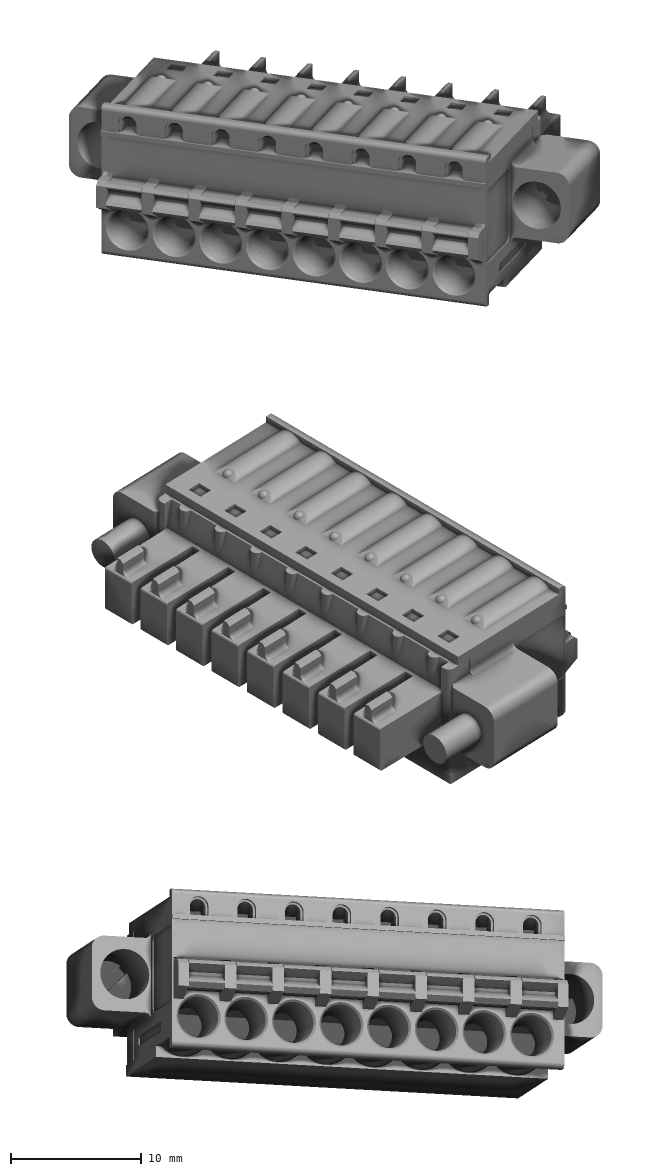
import cadquery as cq
import math

poles = 8
pitch = 3.81
body_width = 31.4
body_half = body_width / 2
overall_half_width = 20.435
wire_offset = -0.235

body_back = 12.67
deck_height = 11.83
lip_height = 12.4
lip_depth = 0.76
lip_fillet = 0.38

rear_rim_back = 12.83
rear_rim_bottom = 0.87
rear_rim_top = 10.97
rear_rim_front = 11.83
rear_edge_radius = 0.5

contact_positions = [(i - (poles - 1) / 2) * pitch for i in range(poles)]
wire_positions = [x + wire_offset for x in contact_positions]
rib_positions = [(i - poles / 2) * pitch for i in range(poles + 1)]


def box(x_min, x_max, y_min, y_max, z_min, z_max):
    size = (x_max - x_min, y_max - y_min, z_max - z_min)
    return cq.Workplane("XY").box(*size, centered=False).translate((x_min, y_min, z_min))


def centered_box(x, width, y_min, y_max, z_min, z_max):
    return box(x - width / 2, x + width / 2, y_min, y_max, z_min, z_max)


def side_profile(points, x, width):
    """Extrude a closed (y, z) outline along X, centred on x."""
    sketch = cq.Workplane("YZ").polyline(points).close()
    return sketch.extrude(width / 2, both=True).translate((x, 0, 0))


def rod(x, z, radius, y_min, y_max):
    """Cylinder along Y."""
    base = cq.Workplane("XZ", origin=(x, y_min, z)).circle(radius)
    return base.extrude(y_min - y_max)


def join_all(part, pieces):
    return cq.Workplane(part.val().fuse(*[piece.val() for piece in pieces]))


def cut_all(part, pieces):
    return cq.Workplane(part.val().cut(*[piece.val() for piece in pieces]))


bottom_relief_depth = 0.87
bottom_relief_back = 4.45


def make_housing():
    outline = [
        (0, 0),
        (lip_depth, 0),
        (lip_depth, bottom_relief_depth),
        (bottom_relief_back, bottom_relief_depth),
        (bottom_relief_back, 0),
        (body_back, 0),
        (body_back, rear_rim_top),
        (rear_rim_front, rear_rim_top),
        (rear_rim_front, deck_height),
        (lip_depth, deck_height),
        (lip_depth, lip_height),
        (0, lip_height),
    ]
    housing = side_profile(outline, 0, body_width)
    housing = housing.edges("<Y and |X").fillet(lip_fillet)
    rim = box(-body_half, body_half, bottom_relief_back, rear_rim_back, rear_rim_bottom, rear_rim_top)
    rim = rim.edges(">Y and |Z").fillet(rear_edge_radius)
    back_corners = box(-body_half, body_half, rear_rim_front, rear_rim_back, rear_rim_bottom, rear_rim_top)
    return housing.cut(back_corners).union(rim)


ledge_half_width = 14.85
ledge_slope_start = 12.0
ledge_slope_end = 12.54
ledge_floor = 8.49
ledge_bump_radius = 0.5


def cut_rear_ledge(part):
    ledge = side_profile(
        [
            (ledge_slope_start, rear_rim_top),
            (ledge_slope_end, ledge_floor),
            (rear_rim_back, ledge_floor),
            (rear_rim_back, rear_rim_top),
        ],
        0,
        2 * ledge_half_width,
    )
    bump = cq.Workplane("XY", origin=(0, ledge_slope_start, ledge_floor)).circle(ledge_bump_radius)
    bump = bump.extrude(rear_rim_top - ledge_floor)
    bumps = [bump.translate((x, 0, 0)) for x in contact_positions]
    return part.cut(cut_all(ledge, bumps))


side_recess = 0.1
groove_front = 10.45
groove_back = 10.7
panel_y = (0.1, 5.3)
panel_z = (3.55, 9.6)
panel_radius = 0.45
side_slot_y = (3.05, 9.15)
side_slot_z = (1.7, 2.5)
side_slot_radius = 0.25


def cut_side_details(part):
    for side in (-1, 1):
        inner = side * (body_half - side_recess)
        x_range = sorted((inner, side * body_half))
        groove = box(*x_range, groove_front, groove_back, rear_rim_bottom, rear_rim_top)
        panel = box(*x_range, *panel_y, *panel_z).edges("|X").fillet(panel_radius)
        slot = box(*x_range, *side_slot_y, *side_slot_z).edges("|X").fillet(side_slot_radius)
        part = part.cut(groove).cut(panel).cut(slot)
    return part


wire_z = 2.43
wire_tube_radius = 2.3
wire_mouth_radius = 1.76
wire_bore_radius = 1.6
wire_throat_radius = 1.25
wire_chamfer_depth = 0.16
wire_cone_depth = 3.0
wire_depth = 3.5
wire_end_z = (1.64, 3.23)


def wire_tube(x):
    """Lowest part of the tube round a wire entry, showing in the bottom relief."""
    tube_start = lip_depth / 2
    tube = rod(x, wire_z, wire_tube_radius, tube_start, bottom_relief_back + lip_depth)
    below_floor = centered_box(x, pitch, tube_start, body_back, 0, bottom_relief_depth)
    return tube.intersect(below_floor)


def wire_funnel(x):
    outline = [
        (0, 0),
        (wire_mouth_radius, 0),
        (wire_bore_radius, wire_chamfer_depth),
        (wire_throat_radius, wire_cone_depth),
        (wire_throat_radius, wire_depth),
        (0, wire_depth),
    ]
    funnel = cq.Workplane("XY").polyline(outline).close().revolve(360, (0, 0, 0), (0, 1, 0))
    funnel = funnel.translate((x, 0, wire_z))
    taper = [
        (0, wire_z - wire_mouth_radius),
        (wire_cone_depth, wire_z - wire_throat_radius),
        (wire_depth, wire_end_z[0]),
        (wire_depth, wire_end_z[1]),
        (wire_cone_depth, wire_z + wire_throat_radius),
        (0, wire_z + wire_mouth_radius),
    ]
    return funnel.intersect(side_profile(taper, x, 2 * wire_mouth_radius))


release_bottom = 10.35
release_mouth_radius = 0.775
release_inner_radius = 0.62
release_axis_z = 11.075
release_mouth_depth = 0.3
release_depth = 1.6
release_end_top = 10.97
ledge_bar_bottom = 9.98
ledge_bar_reach = 0.15


def arched_slot(x, radius, depth):
    return (
        cq.Workplane("XZ")
        .moveTo(x - radius, release_bottom)
        .lineTo(x - radius, release_axis_z)
        .threePointArc((x, release_axis_z + radius), (x + radius, release_axis_z))
        .lineTo(x + radius, release_bottom)
        .close()
        .extrude(-depth)
    )


def release_opening(x):
    roof_start = release_axis_z + release_inner_radius
    sloping_roof = [
        (0, release_bottom),
        (release_depth, release_bottom),
        (release_depth, release_end_top),
        (release_mouth_depth, roof_start),
        (0, roof_start),
    ]
    inner = arched_slot(x, release_inner_radius, release_depth)
    inner = inner.intersect(side_profile(sloping_roof, x, 2 * release_inner_radius))
    return arched_slot(x, release_mouth_radius, release_mouth_depth).union(inner)


def front_ledge_bar():
    return box(-body_half, body_half, -ledge_bar_reach, lip_depth, ledge_bar_bottom, release_bottom)


cover_chord = 2.2
cover_rise = 0.44
cover_radius = ((cover_chord / 2) ** 2 + cover_rise ** 2) / (2 * cover_rise)
cover_back = 8.07
cover_slope_length = 0.9
cover_ball_y = 7.6
cover_ball_radius = 0.45


def top_cover(x):
    axis_z = deck_height + cover_rise - cover_radius
    cover_front = lip_depth / 2
    cover = rod(x, axis_z, cover_radius, cover_front, cover_back)
    envelope = side_profile(
        [
            (cover_front, deck_height - cover_rise),
            (cover_back, deck_height - cover_rise),
            (cover_back, deck_height),
            (cover_back - cover_slope_length, deck_height + cover_rise),
            (cover_front, deck_height + cover_rise),
        ],
        x,
        cover_chord,
    )
    ball = cq.Workplane("XY").sphere(cover_ball_radius).translate((x, cover_ball_y, deck_height))
    return cover.intersect(envelope).union(ball)


pocket_width = 1.3
pocket_y = (9.9, 11.05)
pocket_depth = 0.4


def test_pocket(x):
    return centered_box(x, pocket_width, *pocket_y, deck_height - pocket_depth, deck_height)


rail_top = 6.68
rail_reach = 1.55
rib_reach = 1.42
rib_width = 0.92
rib_half_end = 15.6
rib_top_chamfer = 0.35
rib_nose_bottom = 4.5
rib_root_bottom = 3.75
rib_notch_height = 0.3
bar_bottom = 4.45
bar_top = 6.6
bar_lip_chamfer = 0.22
bar_upper_lip_bottom = 6.3
bar_lower_lip_top = 5.1
bar_lower_lip_bottom = 4.85
bar_channel_y = -0.75
bar_channel_z = (5.5, 5.75)


def add_lever_rail(part):
    bar_outline = [
        (0, bar_bottom),
        (bar_lower_lip_bottom - bar_bottom - rail_reach, bar_bottom),
        (-rail_reach, bar_lower_lip_bottom),
        (bar_lip_chamfer - rail_reach, bar_lower_lip_top),
        (bar_channel_y, bar_channel_z[0]),
        (bar_channel_y, bar_channel_z[1]),
        (-rail_reach, bar_upper_lip_bottom),
        (-rail_reach, bar_top - bar_lip_chamfer),
        (bar_lip_chamfer - rail_reach, bar_top),
        (0, bar_top),
    ]
    bars = [side_profile(bar_outline, x, pitch - rib_width) for x in contact_positions]
    rib_outline = [
        (0, rib_root_bottom),
        (-rib_reach, rib_nose_bottom),
        (-rib_reach, rail_top - rib_top_chamfer),
        (rib_top_chamfer - rib_reach, rail_top),
        (0, rail_top),
    ]
    notch_outline = [
        (0, rail_top),
        (rib_notch_height, rail_top + rib_notch_height),
        (0, rail_top + rib_notch_height),
    ]
    rail_limit = box(-rib_half_end, rib_half_end, -rail_reach, body_back, 0, lip_height)
    ribs = [side_profile(rib_outline, x, rib_width).intersect(rail_limit) for x in rib_positions]
    notches = [side_profile(notch_outline, x, rib_width).intersect(rail_limit) for x in rib_positions]
    return join_all(cut_all(part, notches), bars + ribs)


prong_tip = 19.45
prong_root_half = 1.5
prong_tip_half = 1.42
prong_z = (4.42, ledge_floor)
prong_tip_fillet = 0.2
ridge_y = (16.95, 19.25)
ridge_top = 9.87
ridge_width = 0.6
ridge_root_radius = 0.45
ridge_chamfer = 0.25


def contact_prong(x):
    root = rear_rim_back - rear_edge_radius
    prong = (
        cq.Workplane("XY", origin=(x, 0, prong_z[0]))
        .polyline(
            [
                (-prong_root_half, root),
                (prong_root_half, root),
                (prong_tip_half, prong_tip),
                (-prong_tip_half, prong_tip),
            ]
        )
        .close()
        .extrude(prong_z[1] - prong_z[0])
    )
    prong = prong.edges(">Y and |X").fillet(prong_tip_fillet)
    half = ridge_width / 2
    foot = half + ridge_root_radius
    base = prong_z[1]
    shoulder = base + ridge_root_radius
    arc_inset = ridge_root_radius * (1 - math.sqrt(0.5))
    ridge = (
        cq.Workplane("XZ", origin=(x, ridge_y[0], 0))
        .moveTo(-foot, base)
        .threePointArc((-half - arc_inset, base + arc_inset), (-half, shoulder))
        .lineTo(-half, ridge_top - ridge_chamfer)
        .lineTo(ridge_chamfer - half, ridge_top)
        .lineTo(half, ridge_top)
        .lineTo(half, shoulder)
        .threePointArc((half + arc_inset, base + arc_inset), (foot, base))
        .close()
        .extrude(ridge_y[0] - ridge_y[1])
    )
    return prong.union(ridge)


flange_y = (5.75, 12.75)
flange_z = (3.68, 9.53)
flange_edge_radius = 1.0
flange_back_chamfer = 0.35
flange_web_radius = 0.48
flange_web_back = 10.6
screw_x = 17.8
screw_z = (flange_z[0] + flange_z[1]) / 2
screw_head_radius = 1.96
screw_head_recess = 5.0
screw_shank_radius = 1.25
screw_embed = 1.0
screw_tip = 16.55
screw_slot_width = 0.72
screw_slot_depth = 0.6
screw_slot_angle = 45


def concave_web(z, direction):
    """Concave blend between the flange and the right end wall, above (+1) or below (-1)."""
    r = flange_web_radius
    inset = r * (1 - math.sqrt(0.5))
    return (
        cq.Workplane("XZ", origin=(0, flange_y[0], 0))
        .moveTo(body_half, z)
        .lineTo(body_half + r, z)
        .threePointArc((body_half + inset, z + direction * inset), (body_half, z + direction * r))
        .close()
        .extrude(flange_y[0] - flange_web_back)
    )


def right_flange():
    root_depth = 2 * side_recess
    flange = box(body_half, overall_half_width, *flange_y, *flange_z)
    flange = flange.edges(">X and |Y").fillet(flange_edge_radius)
    flange = flange.edges("<X and >Y and |Z").chamfer(flange_back_chamfer)
    root_back = flange_y[1] - rear_edge_radius
    root = box(body_half - root_depth, body_half, flange_y[0], root_back, *flange_z)
    flange = flange.union(root)
    flange = flange.union(concave_web(flange_z[1], 1)).union(concave_web(flange_z[0], -1))
    return flange.union(rod(screw_x, screw_z, screw_shank_radius, flange_y[1] - screw_embed, screw_tip))


def screw_recess(x):
    head_y = flange_y[0] + screw_head_recess
    recess = rod(x, screw_z, screw_head_radius, flange_y[0], head_y)
    slot = centered_box(0, screw_slot_width, head_y, head_y + screw_slot_depth, -lip_height, lip_height)
    slot = slot.rotate((0, 0, 0), (0, 1, 0), screw_slot_angle).translate((x, 0, screw_z))
    head = rod(x, screw_z, screw_head_radius, head_y, head_y + screw_slot_depth)
    return recess.union(slot.intersect(head))


result = cut_side_details(cut_rear_ledge(make_housing()))
result = join_all(result, [wire_tube(x) for x in wire_positions])
result = join_all(result, [top_cover(x) for x in wire_positions])
result = result.union(front_ledge_bar())
result = cut_all(result, [wire_funnel(x) for x in wire_positions])
result = cut_all(result, [release_opening(x) for x in wire_positions])
result = cut_all(result, [test_pocket(x) for x in contact_positions])
result = join_all(result, [contact_prong(x) for x in contact_positions])
result = add_lever_rail(result)
flange = right_flange()
result = join_all(result, [flange, flange.mirror("YZ")])
result = cut_all(result, [screw_recess(x) for x in (-screw_x, screw_x)]).solids()